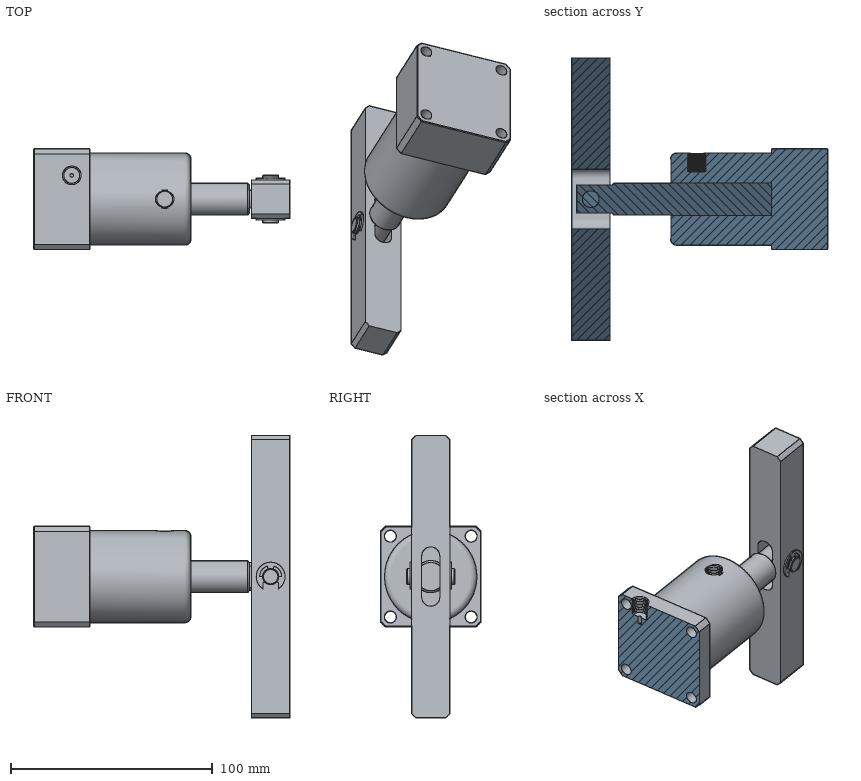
import cadquery as cq
import math


flange_size = 50.0
flange_length = 28.0
flange_corner = 2.5
flange_edge = 0.4
mount_hole_dia = 5.7
mount_hole_pitch = 40.0
barrel_dia = 45.8
barrel_end_x = 78.0
barrel_fillet = 3.1

port_bore_radius = 3.9
port_thread_radius = 4.6
port_thread_pitch = 1.0
port_thread_count = 9
port_depth = (port_thread_count + 0.5) * port_thread_pitch
flange_port_x = 18.9
flange_port_y = 11.8
barrel_port_x = 65.0
feed_hole_dia = 1.7
feed_hole_depth = 4.2

bar_width = 19.0
bar_length = 140.0
bar_chamfer = 2.1
bar_start_x = 108.0
slot_height = 29.4

rod_dia = 16.0
rod_shoulder_x = 107.0
rod_chamfer = 1.0
tongue_dia = rod_dia - 2 * rod_chamfer
tongue_thickness = 9.0

pivot_x = bar_start_x + bar_width / 2
pin_dia = 8.0
pin_length = 23.8
pin_chamfer = 0.4
groove_radius = 3.4
clip_radius = 7.1
clip_thickness = 0.8
clip_relief_radius = 5.5
clip_relief_angle = 72.0
clip_mouth_half = 3.8
clip_mouth_top = 3.2
clip_throat_half = 2.7
clip_throat_top = math.sqrt(groove_radius**2 - clip_throat_half**2)

clip_starts = [-bar_width / 2 - clip_thickness, bar_width / 2]

tongue_end_x = pivot_x + tongue_dia / 2


def rod_cylinder(diameter, start_x, end_x):
    """Cylinder on the rod axis between two X positions."""
    return cq.Workplane("YZ", origin=(start_x, 0, 0)).circle(diameter / 2).extrude(end_x - start_x)


def pivot_cylinder(radius, start_y, length):
    """Cylinder on the pivot axis, running toward +Y from start_y."""
    return cq.Workplane("XZ", origin=(pivot_x, start_y, 0)).circle(radius).extrude(-length)


def threaded_port(x, y, mouth_z):
    """Cutter for a blind port with ring-shaped V threads."""
    profile = cq.Workplane("XZ").moveTo(0, 0).lineTo(port_thread_radius, 0)
    for i in range(port_thread_count):
        crest_depth = (i + 0.5) * port_thread_pitch
        root_depth = (i + 1) * port_thread_pitch
        profile = profile.lineTo(port_bore_radius, -crest_depth)
        profile = profile.lineTo(port_thread_radius, -root_depth)
    profile = profile.lineTo(port_bore_radius, -port_depth)
    profile = profile.lineTo(0, -port_depth).close()
    return profile.revolve(360, (0, 0, 0), (0, 1, 0)).translate((x, y, mouth_z))


def make_housing():
    flange = (
        cq.Workplane("YZ")
        .rect(flange_size, flange_size)
        .extrude(flange_length)
        .edges("|X")
        .chamfer(flange_corner)
        .faces("<X or >X")
        .chamfer(flange_edge)
    )
    barrel = rod_cylinder(barrel_dia, flange_length, barrel_end_x).faces(">X").edges().fillet(barrel_fillet)
    mount_holes = (
        cq.Workplane("YZ")
        .rect(mount_hole_pitch, mount_hole_pitch, forConstruction=True)
        .vertices()
        .circle(mount_hole_dia / 2)
        .extrude(flange_length)
    )
    feed_hole = (
        cq.Workplane("XY", origin=(flange_port_x, flange_port_y, flange_size / 2))
        .circle(feed_hole_dia / 2)
        .extrude(-(port_depth + feed_hole_depth))
    )
    return (
        flange.union(barrel)
        .cut(mount_holes)
        .cut(rod_cylinder(rod_dia, flange_length, barrel_end_x))
        .cut(threaded_port(flange_port_x, flange_port_y, flange_size / 2))
        .cut(threaded_port(barrel_port_x, 0, barrel_dia / 2))
        .cut(feed_hole)
    )


def make_rod():
    shank = rod_cylinder(rod_dia, flange_length, rod_shoulder_x).faces(">X").chamfer(rod_chamfer)
    tongue_flats = cq.Workplane("XY").box(2 * tongue_end_x, tongue_thickness, tongue_dia)
    tongue = rod_cylinder(tongue_dia, rod_shoulder_x, tongue_end_x).intersect(tongue_flats)
    pin_hole = pivot_cylinder(pin_dia / 2, -bar_width / 2, bar_width)
    return shank.union(tongue).cut(pin_hole)


def make_bar():
    blank = (
        cq.Workplane("YZ", origin=(bar_start_x, 0, 0))
        .rect(bar_width, bar_length)
        .extrude(bar_width)
        .edges("|X")
        .chamfer(bar_chamfer)
    )
    slot = (
        cq.Workplane("YZ", origin=(bar_start_x, 0, 0))
        .slot2D(slot_height, tongue_thickness, 90)
        .extrude(bar_width)
    )
    pin_hole = pivot_cylinder(pin_dia / 2, -bar_width / 2, bar_width)
    return blank.cut(slot).cut(pin_hole)


def make_pin():
    pin = pivot_cylinder(pin_dia / 2, -pin_length / 2, pin_length).faces("<Y or >Y").chamfer(pin_chamfer)
    for start_y in clip_starts:
        groove = pivot_cylinder(pin_dia / 2, start_y, clip_thickness)
        groove = groove.cut(pivot_cylinder(groove_radius, start_y, clip_thickness))
        pin = pin.cut(groove)
    return pin


def clip_relief(start_y, start_angle, end_angle):
    """Pie-shaped cutter between two angles around the pivot."""

    def rim_point(angle):
        turn = math.radians(angle)
        return (clip_relief_radius * math.cos(turn), clip_relief_radius * math.sin(turn))

    return (
        cq.Workplane("XZ", origin=(pivot_x, start_y, 0))
        .lineTo(*rim_point(start_angle))
        .threePointArc(rim_point((start_angle + end_angle) / 2), rim_point(end_angle))
        .close()
        .extrude(-clip_thickness)
    )


def make_clip(start_y):
    """E-clip with its mouth facing down."""
    mouth = (
        cq.Workplane("XZ", origin=(pivot_x, start_y, 0))
        .polyline([
            (-clip_throat_half, -clip_throat_top),
            (-clip_mouth_half, -clip_mouth_top),
            (-clip_mouth_half, -clip_radius),
            (clip_mouth_half, -clip_radius),
            (clip_mouth_half, -clip_mouth_top),
            (clip_throat_half, -clip_throat_top),
        ])
        .close()
        .extrude(-clip_thickness)
    )
    return (
        pivot_cylinder(clip_radius, start_y, clip_thickness)
        .cut(pivot_cylinder(groove_radius, start_y, clip_thickness))
        .cut(mouth)
        .cut(clip_relief(start_y, 0, clip_relief_angle))
        .cut(clip_relief(start_y, 180 - clip_relief_angle, 180))
    )


housing = make_housing()
rod = make_rod()
bar = make_bar()
pin = make_pin()
clips = [make_clip(start_y) for start_y in clip_starts]

result = cq.Compound.makeCompound(
    [housing.val(), rod.val(), bar.val(), pin.val(), *[clip.val() for clip in clips]]
)